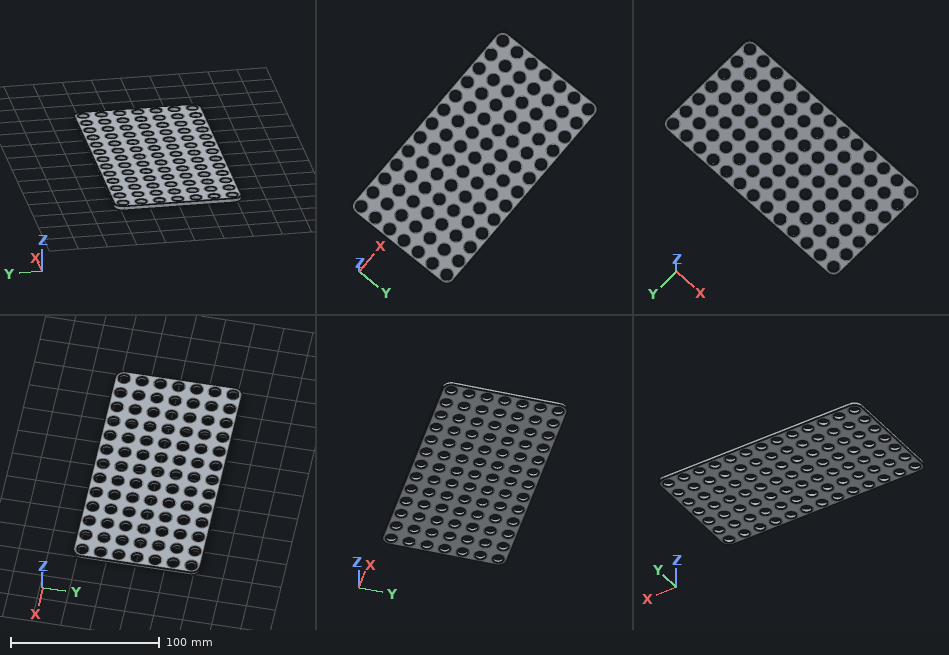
import cadquery as cq

pitch = 12.5
columns = 13
rows = 7
bore_diameter = 7.0
collar_diameter = 9.2

length = columns * pitch
width = rows * pitch
thickness = pitch / 4
corner_radius = pitch / 2

rim_width = 0.8
chamfer_size = 0.3


def rounded_slab(inset):
    """Full-height slab whose rounded outline lies the given inset inside the plate edge."""
    slab = cq.Workplane("XY").rect(length - 2 * inset, width - 2 * inset).extrude(thickness)
    return slab.edges("|Z").fillet(corner_radius - inset)


def make_rim():
    """Band along the plate edge, chamfered around its outside at top and bottom."""
    outer = rounded_slab(0).faces("<Z or >Z").edges().chamfer(chamfer_size)
    return outer.cut(rounded_slab(rim_width))


def make_core():
    """Plate inside the rim, with an opening for each collar."""
    openings = (
        cq.Workplane("XY")
        .rarray(pitch, pitch, columns, rows)
        .circle(collar_diameter / 2)
        .extrude(thickness)
    )
    return rounded_slab(rim_width).cut(openings)


def make_collar():
    """Ring around one hole, with its bore chamfered at top and bottom."""
    bore_radius = bore_diameter / 2
    collar_radius = collar_diameter / 2
    mouth_radius = bore_radius + chamfer_size
    profile = (
        cq.Workplane("XZ")
        .moveTo(collar_radius, 0)
        .lineTo(mouth_radius, 0)
        .lineTo(bore_radius, chamfer_size)
        .lineTo(bore_radius, thickness - chamfer_size)
        .lineTo(mouth_radius, thickness)
        .lineTo(collar_radius, thickness)
        .close()
    )
    return profile.revolve(360, (0, 0, 0), (0, 1, 0)).val()


def place_collars():
    """One collar at every point of the hole grid."""
    collar = make_collar()
    grid = cq.Workplane("XY").rarray(pitch, pitch, columns, rows)
    return grid.eachpoint(lambda location: collar.moved(location)).vals()


result = cq.Workplane(make_core().val().fuse(make_rim().val(), *place_collars()))